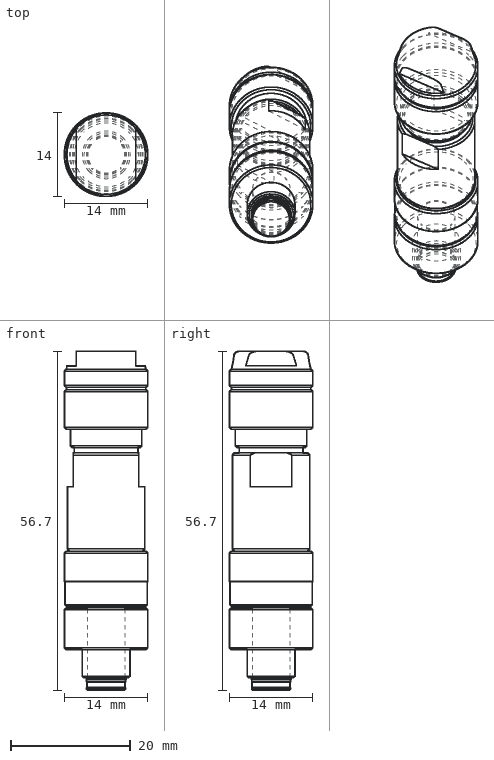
import cadquery as cq

OVERALL_HEIGHT = 56.66
GRIP_RADIUS = 7.0
EDGE_CHAMFER = 0.35
SMALL_CHAMFER = 0.3

INSERT_RADIUS = 3.28
INSERT_STEM_RADIUS = 3.15
INSERT_EDGE_CHAMFER = 0.22
INSERT_GROOVE_RADIUS = 3.2
INSERT_GROOVE_BOTTOM_Z = 0.27
INSERT_GROOVE_TOP_Z = 1.46
INSERT_GROOVE_FLANK = 0.17
INSERT_SHOULDER_RADIUS = 3.36
INSERT_SHOULDER_Z = 1.8

THREAD_RADIUS = 4.0
THREAD_BOTTOM_Z = 2.05
COUPLING_GRIP_BOTTOM_Z = 6.75
COUPLING_TOP_Z = 13.75

LOWER_RING_RADIUS = 6.9
LOWER_RING_BOTTOM_Z = 14.0
RING_JOINT_Z = 18.08
RING_JOINT_CHAMFER = 0.1
UPPER_RING_TOP_Z = 23.25

SLEEVE_RADIUS = 6.5
SLEEVE_TOP_Z = 39.65
SLEEVE_FLAT_OFFSET = 5.5
SLEEVE_FLAT_BOTTOM_Z = 34.0
NECK_RADIUS = 5.35
COLLAR_RADIUS = 6.0
COLLAR_BOTTOM_Z = 40.55

CAP_BOTTOM_Z = 43.6
CAP_GROOVE_BOTTOM_Z = 50.25
CAP_GROOVE_TOP_Z = 50.6
CAP_RIM_TOP_Z = 53.68
CAP_CONE_TOP_RADIUS = 6.1
CAP_TOP_FILLET = 0.9
CAP_FLAT_OFFSET = 5.0
CAP_FLAT_BOTTOM_Z = 54.2


def turned(profile):
    """Solid of revolution about Z; the profile lists (radius, z) points, bottom to top."""
    axis_bottom = (0, profile[0][1])
    axis_top = (0, profile[-1][1])
    outline = cq.Workplane("XZ").polyline([axis_bottom, *profile, axis_top]).close()
    return outline.revolve(360, (0, 0, 0), (0, 1, 0))


def band(radius, bottom_z, top_z, bottom_chamfer=0, top_chamfer=0):
    """Profile points of a cylindrical band with optional 45 degree chamfers."""
    points = []
    if bottom_chamfer:
        points.append((radius - bottom_chamfer, bottom_z))
    points.append((radius, bottom_z + bottom_chamfer))
    points.append((radius, top_z - top_chamfer))
    if top_chamfer:
        points.append((radius - top_chamfer, top_z))
    return points


def cut_flats(body, offset, bottom_z, top_z):
    """Cut two parallel flats facing -X and +X, between the given heights."""
    depth = GRIP_RADIUS - offset
    for side in (-1, 1):
        cutter = cq.Workplane("XY", origin=(side * (offset + depth / 2), 0, bottom_z))
        body = body.cut(cutter.box(depth, 2 * GRIP_RADIUS, top_z - bottom_z, centered=(True, True, False)))
    return body


def make_insert():
    profile = band(INSERT_RADIUS, 0, INSERT_GROOVE_BOTTOM_Z, bottom_chamfer=INSERT_EDGE_CHAMFER)
    profile += [
        (INSERT_GROOVE_RADIUS, INSERT_GROOVE_BOTTOM_Z + INSERT_GROOVE_FLANK),
        (INSERT_GROOVE_RADIUS, INSERT_GROOVE_TOP_Z - INSERT_GROOVE_FLANK),
        (INSERT_RADIUS, INSERT_GROOVE_TOP_Z),
        (INSERT_RADIUS, INSERT_SHOULDER_Z),
    ]
    profile += band(INSERT_SHOULDER_RADIUS, INSERT_SHOULDER_Z, THREAD_BOTTOM_Z)
    profile += band(INSERT_STEM_RADIUS, THREAD_BOTTOM_Z, LOWER_RING_BOTTOM_Z)
    return turned(profile)


def make_coupling_screw():
    thread = band(THREAD_RADIUS, THREAD_BOTTOM_Z, COUPLING_GRIP_BOTTOM_Z, bottom_chamfer=SMALL_CHAMFER)
    grip = band(GRIP_RADIUS, COUPLING_GRIP_BOTTOM_Z, COUPLING_TOP_Z, EDGE_CHAMFER, EDGE_CHAMFER)
    bore = turned(band(INSERT_STEM_RADIUS, THREAD_BOTTOM_Z, COUPLING_TOP_Z))
    return turned(thread + grip).cut(bore)


def make_lower_ring():
    return turned(
        band(LOWER_RING_RADIUS, LOWER_RING_BOTTOM_Z, RING_JOINT_Z, bottom_chamfer=SMALL_CHAMFER)
    )


def make_upper_ring():
    return turned(
        band(GRIP_RADIUS, RING_JOINT_Z, UPPER_RING_TOP_Z, RING_JOINT_CHAMFER, EDGE_CHAMFER)
    )


def make_sleeve():
    barrel = band(SLEEVE_RADIUS, UPPER_RING_TOP_Z, SLEEVE_TOP_Z, EDGE_CHAMFER, EDGE_CHAMFER)
    neck = band(NECK_RADIUS, SLEEVE_TOP_Z, COLLAR_BOTTOM_Z)
    collar = band(COLLAR_RADIUS, COLLAR_BOTTOM_Z, CAP_BOTTOM_Z, bottom_chamfer=SMALL_CHAMFER)
    sleeve = turned(barrel + neck + collar)
    return cut_flats(sleeve, SLEEVE_FLAT_OFFSET, SLEEVE_FLAT_BOTTOM_Z, SLEEVE_TOP_Z)


def make_cap():
    skirt = band(GRIP_RADIUS, CAP_BOTTOM_Z, CAP_GROOVE_BOTTOM_Z, EDGE_CHAMFER, EDGE_CHAMFER)
    rim = band(GRIP_RADIUS, CAP_GROOVE_TOP_Z, CAP_RIM_TOP_Z, EDGE_CHAMFER, EDGE_CHAMFER)
    cone_top = [(CAP_CONE_TOP_RADIUS, OVERALL_HEIGHT)]
    cap = turned(skirt + rim + cone_top)
    cap = cap.faces(">Z").edges().fillet(CAP_TOP_FILLET)
    return cut_flats(cap, CAP_FLAT_OFFSET, CAP_FLAT_BOTTOM_Z, OVERALL_HEIGHT)


insert = make_insert()
coupling_screw = make_coupling_screw()
lower_ring = make_lower_ring()
upper_ring = make_upper_ring()
sleeve = make_sleeve()
cap = make_cap()

result = cq.Compound.makeCompound([
    insert.val(),
    coupling_screw.val(),
    lower_ring.val(),
    upper_ring.val(),
    sleeve.val(),
    cap.val(),
])